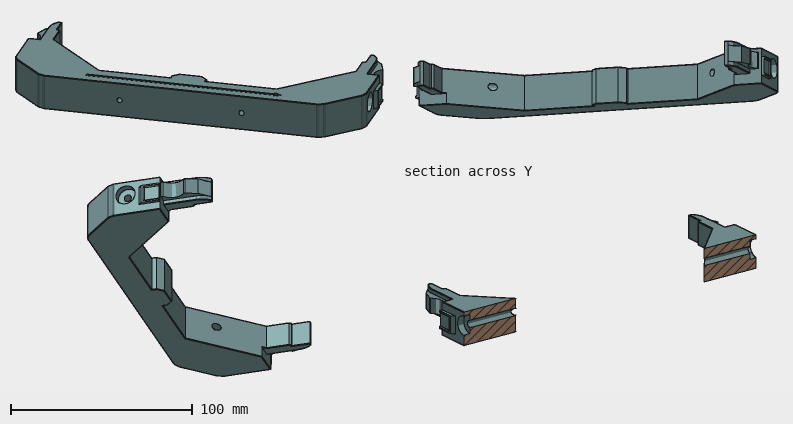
import cadquery as cq

BODY_WIDTH = 200.0
HEIGHT = 20.0
BAR_DEPTH = 15.5
SHOULDER_Y = 49.0
ARM_TIP_Y = 75.4
CORNER_CUT = 20.0
CORNER_BREAK = 2.07
EDGE_CHAMFER = 0.4

ARM_HEIGHT = 14.0
ARM_OUTER_INSET = 6.7
ARM_INNER_INSET = 14.0
ARM_STEP_Y = 65.0
ARM_STEP = 1.85
ARM_STEP_CHAMFER = 1.0
ARM_ROOT_Y = 51.0
TIP_FLAT_X = 10.0
ARM_NOSE_Y = 67.5

HOOK_HEIGHT = 9.0
HOOK_CREST_INSET = 1.8
HOOK_KNEE_Y = 69.7
HOOK_CREST_Y = 63.0
NOTCH_TOP_Y = 62.1
NOTCH_BOTTOM_Y = 50.2
NOTCH_DEPTH = 3.0

PAD_THICKNESS = 2.0
PAD_FRONT_Y = 36.8
PAD_REAR_Y = 48.8
PAD_BOTTOM_Z = 4.7
PAD_TOP_Z = 15.2
PAD_RAMP = 1.9
WINDOW_FRONT_Y = 40.4
WINDOW_MARGIN = 1.4
WINDOW_DEPTH = 0.6
WINDOW_WALL_ANGLE = 45.0

SIDE_HOLE_Y = 29.1
SIDE_HOLE_Z = 11.9
SIDE_HOLE_DIAMETER = 4.0
SIDE_BORE_DIAMETER = 11.0
SIDE_BORE_DEPTH = 4.2

FRONT_HOLE_DIAMETER = 2.9
FRONT_HOLE_SPACING = 69.4
FRONT_HOLE_DEPTH = 10.0

TAB_WIDTH = 20.0
TAB_REAR_Y = 21.7
TAB_CHAMFER = 3.5

ARROW_Y = 7.4
ARROW_START_X = -55.6
ARROW_HEAD_X = 51.5
ARROW_TIP_X = 55.2
ARROW_SHAFT_WIDTH = 1.4
ARROW_HEAD_WIDTH = 4.0
ARROW_DEPTH = 0.5

JOINT_OVERLAP = 1.0
SELECTION_MARGIN = 1.0

HALF_WIDTH = BODY_WIDTH / 2
ARM_BOTTOM_Z = HEIGHT - ARM_HEIGHT
ARM_OUTER_X = HALF_WIDTH - ARM_OUTER_INSET
ARM_INNER_X = HALF_WIDTH - ARM_INNER_INSET
ARM_TIP_INNER_X = ARM_INNER_X + ARM_STEP
ARM_TIP_OUTER_X = HALF_WIDTH - TIP_FLAT_X


def mirrored(half):
    """Return a +X side solid joined with its copy on the -X side."""
    return half.union(half.mirror("YZ"))


def make_body():
    inner_bar_x = ARM_INNER_X - (ARM_ROOT_Y - BAR_DEPTH)
    half = (
        cq.Workplane("XY")
        .moveTo(0, 0)
        .lineTo(HALF_WIDTH - CORNER_CUT, 0)
        .lineTo(HALF_WIDTH, CORNER_CUT)
        .lineTo(HALF_WIDTH, SHOULDER_Y)
        .lineTo(ARM_INNER_X - (ARM_ROOT_Y - SHOULDER_Y), SHOULDER_Y)
        .lineTo(inner_bar_x, BAR_DEPTH)
        .lineTo(0, BAR_DEPTH)
        .close()
        .extrude(HEIGHT)
    )
    corners = cq.selectors.BoxSelector(
        (HALF_WIDTH - CORNER_CUT - CORNER_BREAK - SELECTION_MARGIN, -SELECTION_MARGIN, 0),
        (HALF_WIDTH + SELECTION_MARGIN, CORNER_CUT + CORNER_BREAK + SELECTION_MARGIN, HEIGHT),
    )
    half = half.edges(corners).edges("|Z").chamfer(CORNER_BREAK)
    half = half.edges(corners).edges("|Z").chamfer(EDGE_CHAMFER)
    return mirrored(half)


def make_arms():
    half = (
        cq.Workplane("XY", origin=(0, 0, ARM_BOTTOM_Z))
        .moveTo(ARM_OUTER_X, SHOULDER_Y - JOINT_OVERLAP)
        .lineTo(ARM_OUTER_X, ARM_NOSE_Y)
        .tangentArcPoint((ARM_TIP_OUTER_X, ARM_TIP_Y), relative=False)
        .lineTo(ARM_TIP_INNER_X, ARM_TIP_Y)
        .lineTo(ARM_TIP_INNER_X, ARM_STEP_Y)
        .lineTo(ARM_INNER_X + ARM_STEP_CHAMFER, ARM_STEP_Y)
        .lineTo(ARM_INNER_X, ARM_STEP_Y - ARM_STEP_CHAMFER)
        .lineTo(ARM_INNER_X, ARM_ROOT_Y)
        .lineTo(ARM_INNER_X - (ARM_ROOT_Y - SHOULDER_Y) - JOINT_OVERLAP, SHOULDER_Y - JOINT_OVERLAP)
        .close()
        .extrude(ARM_HEIGHT)
        .faces("<Z")
        .edges("not <Y")
        .chamfer(EDGE_CHAMFER)
    )
    return mirrored(half)


def make_frame():
    frame = make_body().union(make_arms()).union(make_tab())
    return frame.faces(">Z or <Z").edges().chamfer(EDGE_CHAMFER)


def make_hooks():
    crest_x = HALF_WIDTH - HOOK_CREST_INSET
    knee_x = ARM_TIP_OUTER_X + (ARM_TIP_Y - HOOK_KNEE_Y)
    bottom_z = ARM_BOTTOM_Z + (ARM_HEIGHT - HOOK_HEIGHT) / 2
    half = (
        cq.Workplane("XY", origin=(0, 0, bottom_z))
        .moveTo(ARM_TIP_OUTER_X, SHOULDER_Y)
        .lineTo(crest_x, SHOULDER_Y)
        .lineTo(crest_x, NOTCH_BOTTOM_Y)
        .threePointArc(
            (crest_x - NOTCH_DEPTH, (NOTCH_BOTTOM_Y + NOTCH_TOP_Y) / 2),
            (crest_x, NOTCH_TOP_Y),
        )
        .lineTo(crest_x, HOOK_CREST_Y)
        .lineTo(knee_x, HOOK_KNEE_Y)
        .lineTo(ARM_TIP_OUTER_X, ARM_TIP_Y)
        .close()
        .extrude(HOOK_HEIGHT)
    )
    return mirrored(half)


def make_pads():
    outer_x = HALF_WIDTH + PAD_THICKNESS
    half = (
        cq.Workplane("XY", origin=(0, 0, PAD_BOTTOM_Z))
        .moveTo(HALF_WIDTH - JOINT_OVERLAP, PAD_FRONT_Y)
        .lineTo(HALF_WIDTH, PAD_FRONT_Y)
        .lineTo(outer_x, PAD_FRONT_Y + PAD_RAMP)
        .lineTo(outer_x, PAD_REAR_Y)
        .lineTo(HALF_WIDTH - JOINT_OVERLAP, PAD_REAR_Y)
        .close()
        .extrude(PAD_TOP_Z - PAD_BOTTOM_Z)
    )
    window_height = PAD_TOP_Z - PAD_BOTTOM_Z - 2 * WINDOW_MARGIN
    window = (
        cq.Workplane("YZ", origin=(outer_x - WINDOW_DEPTH, 0, 0))
        .moveTo((WINDOW_FRONT_Y + SHOULDER_Y) / 2, (PAD_TOP_Z + PAD_BOTTOM_Z) / 2)
        .rect(SHOULDER_Y - WINDOW_FRONT_Y, window_height)
        .extrude(WINDOW_DEPTH, taper=-WINDOW_WALL_ANGLE)
    )
    return mirrored(half.cut(window))


def make_tab():
    half_tab = TAB_WIDTH / 2
    return (
        cq.Workplane("XY")
        .moveTo(-half_tab, BAR_DEPTH - JOINT_OVERLAP)
        .lineTo(half_tab, BAR_DEPTH - JOINT_OVERLAP)
        .lineTo(half_tab, TAB_REAR_Y - TAB_CHAMFER)
        .lineTo(half_tab - TAB_CHAMFER, TAB_REAR_Y)
        .lineTo(TAB_CHAMFER - half_tab, TAB_REAR_Y)
        .lineTo(-half_tab, TAB_REAR_Y - TAB_CHAMFER)
        .close()
        .extrude(HEIGHT)
    )


def make_side_holes():
    outer_plane = cq.Workplane("YZ", origin=(-HALF_WIDTH, 0, 0)).center(SIDE_HOLE_Y, SIDE_HOLE_Z)
    through = outer_plane.circle(SIDE_HOLE_DIAMETER / 2).extrude(BODY_WIDTH)
    bore = outer_plane.circle(SIDE_BORE_DIAMETER / 2).extrude(SIDE_BORE_DEPTH)
    return through.union(mirrored(bore))


def make_front_holes():
    return (
        cq.Workplane("XZ")
        .center(0, HEIGHT / 2)
        .rarray(FRONT_HOLE_SPACING, 1, 2, 1)
        .circle(FRONT_HOLE_DIAMETER / 2)
        .extrude(-FRONT_HOLE_DEPTH)
    )


def make_arrow():
    return (
        cq.Workplane("XY", origin=(0, ARROW_Y, HEIGHT - ARROW_DEPTH))
        .moveTo(ARROW_START_X, -ARROW_SHAFT_WIDTH / 2)
        .lineTo(ARROW_HEAD_X, -ARROW_SHAFT_WIDTH / 2)
        .lineTo(ARROW_HEAD_X, -ARROW_HEAD_WIDTH / 2)
        .lineTo(ARROW_TIP_X, 0)
        .lineTo(ARROW_HEAD_X, ARROW_HEAD_WIDTH / 2)
        .lineTo(ARROW_HEAD_X, ARROW_SHAFT_WIDTH / 2)
        .lineTo(ARROW_START_X, ARROW_SHAFT_WIDTH / 2)
        .close()
        .extrude(ARROW_DEPTH)
    )


result = (
    make_frame()
    .union(make_hooks())
    .union(make_pads())
    .cut(make_side_holes())
    .cut(make_front_holes())
    .cut(make_arrow())
)